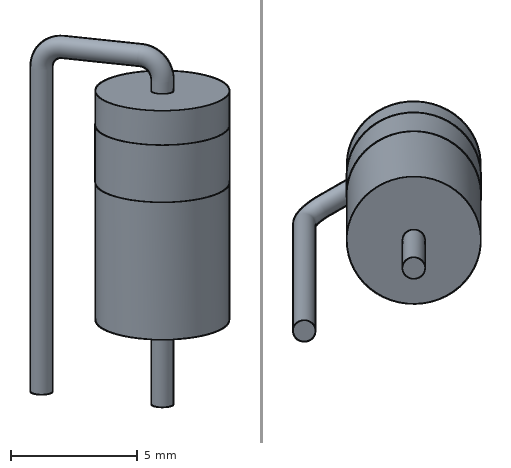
import cadquery as cq

wire_diameter = 0.9
bend_radius = 0.9
lead_pitch = 5.08

body_diameter = 5.33
body_length = 9.53
band_diameter = 5.35
band_length = 2.38
band_top_gap = 1.43

overall_height = 14.87
body_bottom = 3.51

body_top = body_bottom + body_length
band_bottom = body_top - band_top_gap - band_length
wire_top = overall_height - wire_diameter / 2


def upright_cylinder(diameter, bottom, length):
    """Cylinder on the body axis, standing on the given height."""
    return cq.Workplane("XY").workplane(offset=bottom).circle(diameter / 2).extrude(length)


def make_wire():
    """Single round wire: up through the body, over, and down to the lead end."""
    bend_start = wire_top - bend_radius
    path = (
        cq.Workplane("XZ")
        .lineTo(0, bend_start)
        .tangentArcPoint((-bend_radius, wire_top), relative=False)
        .lineTo(-lead_pitch + bend_radius, wire_top)
        .tangentArcPoint((-lead_pitch, bend_start), relative=False)
        .lineTo(-lead_pitch, 0)
    )
    return cq.Workplane("XY").circle(wire_diameter / 2).sweep(path)


body = upright_cylinder(body_diameter, body_bottom, body_length)
polarity_band = upright_cylinder(band_diameter, band_bottom, band_length)

result = body.union(polarity_band).union(make_wire())